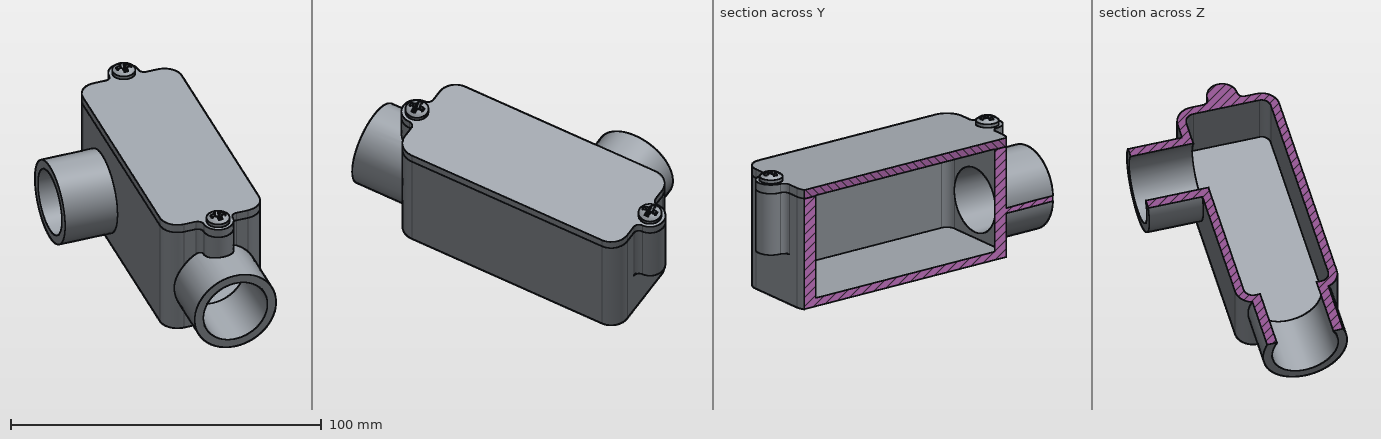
import cadquery as cq
import math


box_length = 83.0
box_width = 34.0
housing_height = 38.0
corner_radius = 6.0
wall = 3.0
lid_thickness = 3.0
lid_top = housing_height + lid_thickness

lug_radius = 5.0
lug_blend_radius = 2.0
lug_bottom = 17.0
screw_x = box_length / 2 + lug_blend_radius

hub_bore = 22.0
hub_diameter = hub_bore + 2 * wall
hub_reach = 18.0
hub_axis_z = 16.0
side_hub_offset = 24.0
side_hub_x = -box_length / 2 + side_hub_offset

head_diameter = 7.5
rim_height = 1.2
head_height = 2.63
shank_diameter = 3.9
shank_length = 13.0
recess_span = 5.0
recess_slot = 1.3
recess_core = 2.5
recess_tip = 1.0
recess_floor = 0.4

crest_ring_radius = recess_core / 2
head_radius = head_diameter / 2
dome_rise = head_height - rim_height
dome_center_drop = (head_radius**2 - crest_ring_radius**2 - dome_rise**2) / (2 * dome_rise)
dome_radius = math.hypot(head_radius, dome_center_drop)
crest_height = rim_height + dome_radius - dome_center_drop


def rounded_block(length, width, corner, bottom, top):
    """Block with rounded vertical edges, centred on the Z axis."""
    block = cq.Workplane("XY").workplane(offset=bottom).rect(length, width).extrude(top - bottom)
    return block.edges("|Z").fillet(corner)


def lug(side, bottom, top):
    """Round screw lug on the end wall at +X (side = 1) or -X (side = -1), blended into the wall."""
    wall_x = side * box_length / 2
    root_x = wall_x - side * wall
    center_x = side * screw_x
    root_y = lug_radius + lug_blend_radius
    blend_step = lug_blend_radius * math.sqrt(0.5)
    blend_mid = (center_x - side * blend_step, root_y - blend_step)
    return (
        cq.Workplane("XY")
        .workplane(offset=bottom)
        .moveTo(root_x, root_y)
        .lineTo(wall_x, root_y)
        .threePointArc(blend_mid, (center_x, lug_radius))
        .threePointArc((center_x + side * lug_radius, 0), (center_x, -lug_radius))
        .threePointArc((blend_mid[0], -blend_mid[1]), (wall_x, -root_y))
        .lineTo(root_x, -root_y)
        .close()
        .extrude(top - bottom)
    )


def shank(side, bottom, top):
    """Cylinder on a screw axis with the shank diameter."""
    plane = cq.Workplane("XY", origin=(side * screw_x, 0, bottom))
    return plane.circle(shank_diameter / 2).extrude(top - bottom)


def end_hub(diameter):
    """Cylinder along X from the inside of the +X wall to the end hub's mouth."""
    plane = cq.Workplane("YZ", origin=(box_length / 2 - wall, 0, hub_axis_z))
    return plane.circle(diameter / 2).extrude(wall + hub_reach)


def side_hub(diameter):
    """Cylinder along Y from the inside of the -Y wall to the side hub's mouth."""
    plane = cq.Workplane("XZ", origin=(side_hub_x, -box_width / 2 + wall, hub_axis_z))
    return plane.circle(diameter / 2).extrude(wall + hub_reach)


def make_housing():
    """Open-topped hollow box with screw lugs and hubs that open into the cavity."""
    body = rounded_block(box_length, box_width, corner_radius, 0, housing_height)
    for side in (-1, 1):
        body = body.union(lug(side, lug_bottom, housing_height))
    body = body.union(end_hub(hub_diameter)).union(side_hub(hub_diameter))
    cavity = rounded_block(
        box_length - 2 * wall,
        box_width - 2 * wall,
        corner_radius - wall,
        wall,
        housing_height,
    )
    body = body.cut(cavity).cut(end_hub(hub_bore)).cut(side_hub(hub_bore))
    for side in (-1, 1):
        body = body.cut(shank(side, lid_top - shank_length, housing_height))
    return body


def make_lid():
    """Flat lid with the housing's outline and two screw holes."""
    lid = rounded_block(box_length, box_width, corner_radius, housing_height, lid_top)
    for side in (-1, 1):
        lid = lid.union(lug(side, housing_height, lid_top))
        lid = lid.cut(shank(side, housing_height, lid_top))
    return lid


def dome_z(radius):
    """Height of the dome above the head's seat at a distance from the screw axis."""
    return rim_height - dome_center_drop + math.sqrt(dome_radius**2 - radius**2)


def make_recess():
    """Cross recess: two slots with ends that slope to the floor, and a tapered square core."""
    slot_end_z = dome_z(recess_span / 2)
    slot = (
        cq.Workplane("XZ")
        .moveTo(-recess_span / 2, crest_height)
        .lineTo(-recess_span / 2, slot_end_z)
        .lineTo(-recess_tip / 2, recess_floor)
        .lineTo(recess_tip / 2, recess_floor)
        .lineTo(recess_span / 2, slot_end_z)
        .lineTo(recess_span / 2, crest_height)
        .close()
        .extrude(recess_slot / 2, both=True)
    )
    recess = slot.union(slot.rotate((0, 0, 0), (0, 0, 1), 90))
    core_depth = head_height - recess_floor
    core_taper = math.degrees(math.atan((recess_core - recess_tip) / 2 / core_depth))
    mouth_plane = cq.Workplane("XY").workplane(offset=head_height)
    core = mouth_plane.rect(recess_core, recess_core).extrude(-core_depth, taper=core_taper)
    core_rim = mouth_plane.rect(recess_core, recess_core).extrude(crest_height - head_height)
    core = core.union(core_rim)
    return recess.union(core.rotate((0, 0, 0), (0, 0, 1), 45))


def make_screw(side):
    """Pan-head cross-recess screw with its head seated on the lid."""
    arc_mid_x = head_radius / 2
    head = (
        cq.Workplane("XZ")
        .lineTo(head_radius, 0)
        .lineTo(head_radius, rim_height)
        .threePointArc((arc_mid_x, dome_z(arc_mid_x)), (0, crest_height))
        .close()
        .revolve(360, (0, 0), (0, 1))
    )
    head = head.cut(make_recess())
    head = head.translate((side * screw_x, 0, lid_top))
    return head.union(shank(side, lid_top - shank_length, lid_top))


housing = make_housing()
lid = make_lid()
screws = [make_screw(side) for side in (-1, 1)]

result = cq.Compound.makeCompound(
    [housing.val(), lid.val(), *[screw.val() for screw in screws]]
)